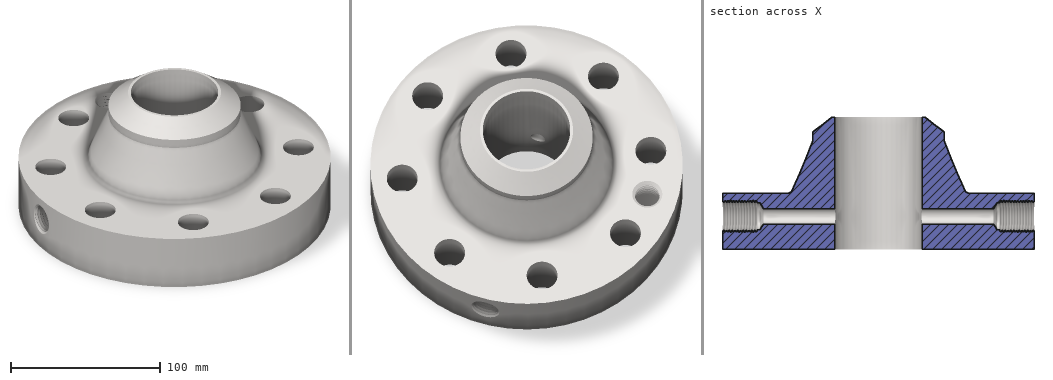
import math

import cadquery as cq

flange_radius = 104.8
flange_height = 38.0

overall_height = 88.8
bore_radius = 29.3
weld_end_radius = 31.2
hub_radius = 44.5
collar_bottom = 72.5
collar_top = 78.8
hub_base_radius = 58.9
hub_fillet = 3.0

bolt_circle_radius = 84.0
bolt_hole_count = 8
bolt_hole_diameter = 20.7

jack_major_radius = 10.0
jack_minor_radius = 8.4
jack_pitch = 2.5

tap_height = 22.2
tap_major_radius = 10.5
tap_minor_radius = 9.0
tap_pitch = 1.9
tap_thread_depth = 25.1
tap_drill_radius = 5.0
tap_cone_half_angle = 59.0

tolerance = 0.2


def make_body():
    """Flange disc and tapered hub as one revolved profile, with a fillet at the foot of the hub."""
    profile = [
        (0, 0),
        (flange_radius, 0),
        (flange_radius, flange_height),
        (hub_base_radius, flange_height),
        (hub_radius, collar_bottom),
        (hub_radius, collar_top),
        (weld_end_radius, overall_height),
        (0, overall_height),
    ]
    body = cq.Workplane("XZ").polyline(profile).close().revolve(360, (0, 0), (0, 1))
    foot_reach = hub_base_radius + tolerance
    foot_box = cq.selectors.BoxSelector(
        (-foot_reach, -foot_reach, flange_height - tolerance),
        (foot_reach, foot_reach, flange_height + tolerance),
        boundingbox=True,
    )
    return body.edges(foot_box).fillet(hub_fillet)


def thread_points(major_radius, minor_radius, pitch, depth):
    """Zigzag (radius, depth) points of V-shaped thread grooves, starting wide at the mouth."""
    points = []
    for turn in range(math.floor(depth / pitch)):
        points.append((major_radius, turn * pitch))
        points.append((minor_radius, (turn + 0.5) * pitch))
    return points


def revolve_cutter(points):
    """Solid of revolution about Z from (radius, height) points that start and end on the axis."""
    return cq.Workplane("XZ").polyline(points).close().revolve(360, (0, 0), (0, 1))


def make_bolt_holes():
    half_step = 180 / bolt_hole_count
    return (
        cq.Workplane("XY")
        .polarArray(bolt_circle_radius, half_step, 360, bolt_hole_count)
        .circle(bolt_hole_diameter / 2)
        .extrude(flange_height)
    )


def make_jack_hole():
    thread = thread_points(jack_major_radius, jack_minor_radius, jack_pitch, flange_height)
    outline = [(0, 0)] + thread + [(jack_minor_radius, flange_height), (0, flange_height)]
    cutter = revolve_cutter(outline)
    cutter = cutter.rotate((0, 0, 0), (1, 0, 0), 180)
    return cutter.translate((-bolt_circle_radius, 0, flange_height))


def make_tap():
    """Pressure tap entering from the -Y side: threaded socket, drill-point cone and bore-side drilling."""
    thread = thread_points(tap_major_radius, tap_minor_radius, tap_pitch, tap_thread_depth)
    cone_length = (tap_minor_radius - tap_drill_radius) / math.tan(math.radians(tap_cone_half_angle))
    outline = [(0, 0)] + thread + [
        (tap_minor_radius, tap_thread_depth),
        (tap_drill_radius, tap_thread_depth + cone_length),
        (tap_drill_radius, flange_radius),
        (0, flange_radius),
    ]
    cutter = revolve_cutter(outline)
    cutter = cutter.rotate((0, 0, 0), (1, 0, 0), -90)
    return cutter.translate((0, -flange_radius, tap_height))


bore = cq.Workplane("XY").circle(bore_radius).extrude(overall_height)
front_tap = make_tap()
back_tap = front_tap.rotate((0, 0, 0), (0, 0, 1), 180)

result = make_body()
for cutter in (bore, make_bolt_holes(), make_jack_hole(), front_tap, back_tap):
    result = result.cut(cutter)